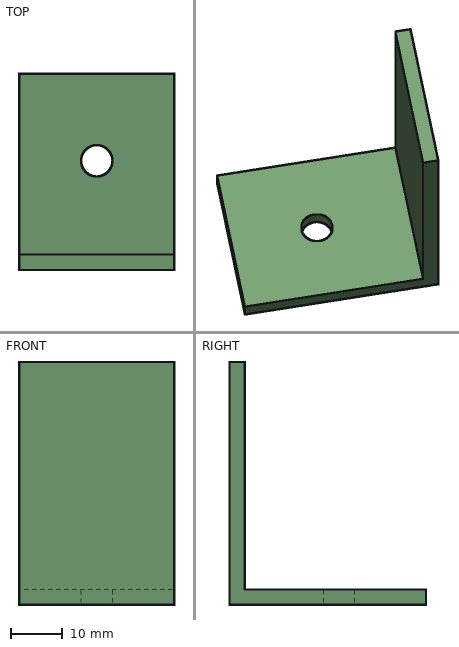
import cadquery as cq

width = 30.0
depth = 38.0
height = 47.0
thickness = 3.0

hole_diameter = 6.0
hole_from_front = 21.15

profile = [
    (0, 0),
    (depth, 0),
    (depth, thickness),
    (thickness, thickness),
    (thickness, height),
    (0, height),
]
bracket = cq.Workplane("YZ").polyline(profile).close().extrude(width)

hole = (
    cq.Workplane("XY")
    .center(width / 2, hole_from_front)
    .circle(hole_diameter / 2)
    .extrude(thickness)
)

result = bracket.cut(hole)